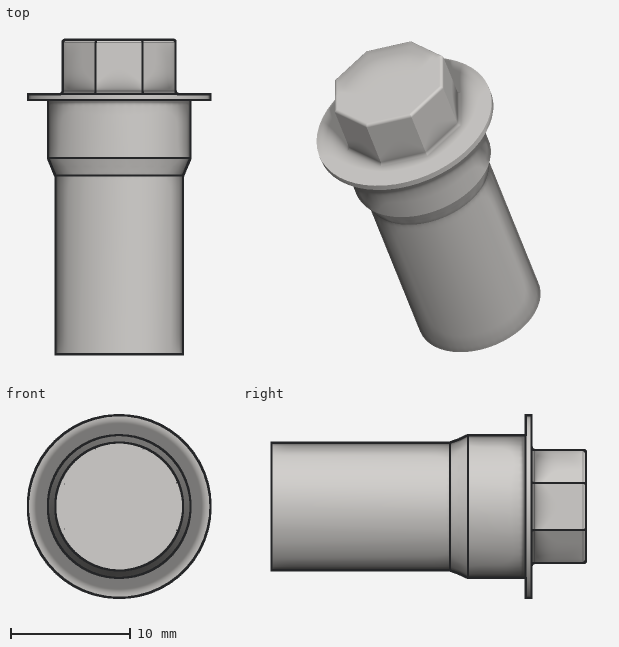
import cadquery as cq
import math


overall_length = 26.42

shank_diameter = 10.75
shank_length = 15.0
taper_length = 1.5
body_diameter = 12.0
body_length = 4.85
flange_diameter = 15.37
flange_thickness = 0.5

head_across_flats = 9.5
head_sides = 8
head_edge_radius = 0.25
head_root_radius = 0.25

taper_start = -body_length
taper_end = taper_start - taper_length
shank_end = taper_end - shank_length
head_height = overall_length - flange_thickness + shank_end


def make_turned_body():
    """Shank, taper, body and flange as one revolve about the Y axis."""
    shank_radius = shank_diameter / 2
    body_radius = body_diameter / 2
    flange_radius = flange_diameter / 2
    profile = [
        (0, shank_end),
        (shank_radius, shank_end),
        (shank_radius, taper_end),
        (body_radius, taper_start),
        (body_radius, 0),
        (flange_radius, 0),
        (flange_radius, flange_thickness),
        (0, flange_thickness),
    ]
    half_profile = cq.Workplane("XY").polyline(profile).close()
    return half_profile.revolve(360, (0, 0, 0), (0, 1, 0))


def make_head():
    """Octagonal prism standing on the flange, with flats facing X and Z."""
    across_corners = head_across_flats / math.cos(math.pi / head_sides)
    corner_to_flat_angle = 180 / head_sides
    prism = (
        cq.Workplane("XZ", origin=(0, flange_thickness, 0))
        .polygon(head_sides, across_corners)
        .extrude(-head_height)
    )
    return prism.rotate((0, 0, 0), (0, 1, 0), corner_to_flat_angle)


def round_head_edges(part):
    """Round the rim of the head's end face and the root where it meets the flange."""
    part = part.faces(">Y").edges().fillet(head_edge_radius)
    root_edges = cq.selectors.BoxSelector(
        (-head_across_flats, flange_thickness - head_root_radius, -head_across_flats),
        (head_across_flats, flange_thickness + head_root_radius, head_across_flats),
    )
    return part.edges(root_edges).edges("not %CIRCLE").fillet(head_root_radius)


result = round_head_edges(make_turned_body().union(make_head()))